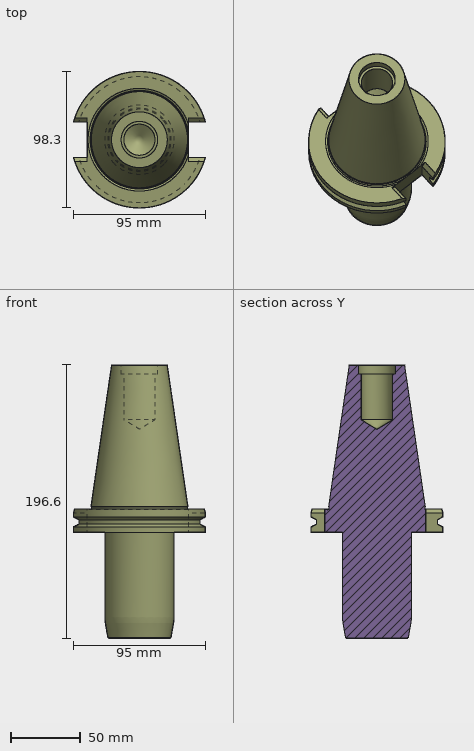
import cadquery as cq
import math

total_height = 196.6
flange_bottom = 76.3
flange_top = 93.2
gauge_height = 95.0

shank_diameter = 50.0
nose_blend_top = 15.1
nose_blend_bottom = 11.0
nose_cone_angle = 10.0
nose_chamfer = 0.8

flange_diameter = 98.3
groove_floor_diameter = 90.8
groove_floor_bottom = 82.2
groove_floor_top = 85.3
groove_wall_height = 2.0

taper_ratio = 7 / 24
taper_large_diameter = 69.8
taper_small_diameter = taper_large_diameter - taper_ratio * (total_height - gauge_height)
relief_diameter = 69.2
relief_bevel = (taper_large_diameter - relief_diameter) / 2
recess_outer_diameter = 74.0
recess_floor_diameter = 71.0
recess_depth = 0.5

slot_width = 25.4
slot_chamfer = 3.0
slot_chamfer_height = 3.0
left_slot_floor = 37.5
right_slot_floor = 35.2

mouth_diameter = 26.3
mouth_depth = 6.3
bore_diameter = 22.5
bore_depth = 39.3
drill_tip_angle = 118.0


def revolve_profile(points):
    """Revolve (radius, height) points about the Z axis."""
    return cq.Workplane("XZ").polyline(points).close().revolve(360, (0, 0), (0, 1))


def make_body():
    shank_radius = shank_diameter / 2
    cone_angle = math.radians(nose_cone_angle)
    blend_radius = (nose_blend_top - nose_blend_bottom) / math.sin(cone_angle)

    def blend_point(angle):
        inset = blend_radius * (1 - math.cos(angle))
        drop = blend_radius * math.sin(angle)
        return (shank_radius - inset, nose_blend_top - drop)

    cone_top = blend_point(cone_angle)
    cone_drop = nose_blend_bottom - nose_chamfer
    tip_radius = cone_top[0] - cone_drop * math.tan(cone_angle)
    nose = (
        cq.Workplane("XZ")
        .lineTo(tip_radius - nose_chamfer, 0)
        .lineTo(tip_radius, nose_chamfer)
        .lineTo(*cone_top)
        .threePointArc(blend_point(cone_angle / 2), blend_point(0))
        .lineTo(shank_radius, flange_bottom)
        .lineTo(0, flange_bottom)
        .close()
        .revolve(360, (0, 0), (0, 1))
    )

    flange_radius = flange_diameter / 2
    groove_radius = groove_floor_diameter / 2
    relief_radius = relief_diameter / 2
    flange_and_taper = revolve_profile([
        (0, flange_bottom),
        (flange_radius, flange_bottom),
        (flange_radius, groove_floor_bottom - groove_wall_height),
        (groove_radius, groove_floor_bottom),
        (groove_radius, groove_floor_top),
        (flange_radius, groove_floor_top + groove_wall_height),
        (flange_radius, flange_top),
        (recess_outer_diameter / 2, flange_top),
        (recess_floor_diameter / 2, flange_top - recess_depth),
        (relief_radius, flange_top),
        (relief_radius, gauge_height - relief_bevel),
        (taper_large_diameter / 2, gauge_height),
        (taper_small_diameter / 2, total_height),
        (0, total_height),
    ])
    return nose.union(flange_and_taper)


def make_drive_slot(floor_distance, side):
    """Slot through the flange on the -X (side = -1) or +X (side = 1) side, with chamfered top edges."""
    half_width = slot_width / 2
    half_mouth = half_width + slot_chamfer
    chamfer_bottom = flange_top - slot_chamfer_height
    outline = [
        (-half_width, flange_bottom),
        (half_width, flange_bottom),
        (half_width, chamfer_bottom),
        (half_mouth, flange_top),
        (-half_mouth, flange_top),
        (-half_width, chamfer_bottom),
    ]
    slot = cq.Workplane("YZ").polyline(outline).close().extrude(side * flange_diameter / 2)
    floor_block = cq.Workplane("XY").box(2 * floor_distance, flange_diameter, total_height,
                                         centered=(True, True, False))
    return slot.cut(floor_block)


def make_bore():
    bore_radius = bore_diameter / 2
    bore_bottom = total_height - bore_depth
    mouth_bottom = total_height - mouth_depth
    tip_height = bore_radius / math.tan(math.radians(drill_tip_angle / 2))
    return revolve_profile([
        (0, total_height),
        (mouth_diameter / 2, total_height),
        (mouth_diameter / 2, mouth_bottom),
        (bore_radius, mouth_bottom),
        (bore_radius, bore_bottom),
        (0, bore_bottom - tip_height),
    ])


result = (
    make_body()
    .cut(make_drive_slot(left_slot_floor, -1))
    .cut(make_drive_slot(right_slot_floor, 1))
    .cut(make_bore())
)